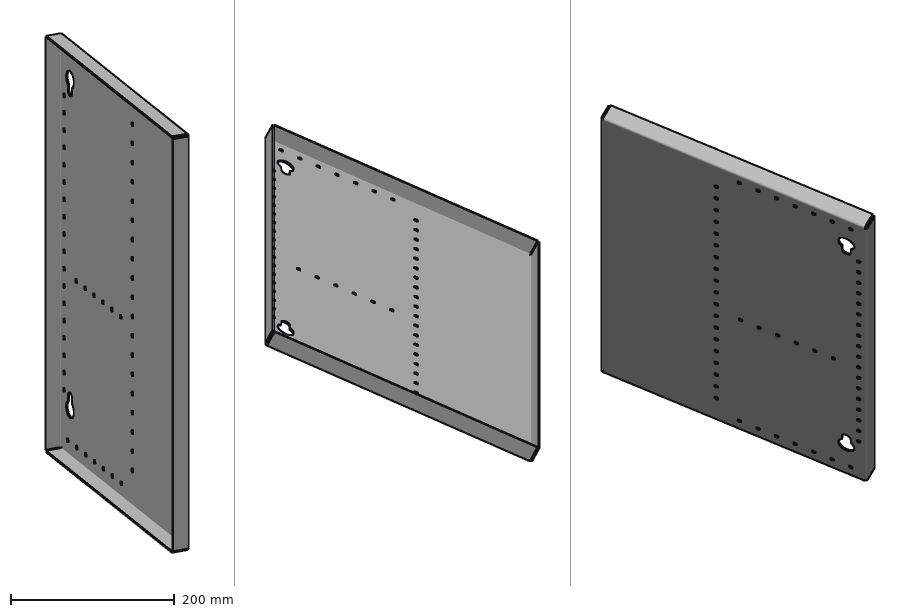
import cadquery as cq

width = 364.55
depth = 22.29
height = 550.1

sheet = 2.29
bend_radius = 3.05

hole_diameter = 5.0
pitch = 25.4
edge_pitch = 22.86

row_x = -160.4
row_count = 7
top_row_z = 258.4
bottom_row_z = -255.8
middle_row_x = -136.6
middle_row_z = -36.6
middle_row_count = 6

long_column_x = 23.6
long_column_z = -227.4
long_column_count = 19
edge_column_x = -171.1
edge_column_z = -193.05
edge_column_count = 18

keyhole_x = -154.2
upper_keyhole_z = 222.9
lower_keyhole_z = -212.6
keyhole_diameter = 22.0
keyhole_slot_width = 12.0
keyhole_slot_travel = 16.0

back_y = depth / 2
front_y = -depth / 2
bend_centre_y = back_y - bend_radius
inner_radius = bend_radius - sheet
panel_width = width - 2 * bend_radius
panel_height = height - 2 * bend_radius


def flange(overall, length):
    """Bend and flange on the +X edge of a sheet `overall` wide, `length` long in Z."""
    outer_x = overall / 2
    bend_x = outer_x - bend_radius
    return (
        cq.Workplane("XY")
        .moveTo(bend_x, back_y)
        .radiusArc((outer_x, bend_centre_y), bend_radius)
        .lineTo(outer_x, front_y)
        .lineTo(outer_x - sheet, front_y)
        .lineTo(outer_x - sheet, bend_centre_y)
        .radiusArc((bend_x, back_y - sheet), -inner_radius)
        .close()
        .extrude(length / 2, both=True)
    )


def make_tray():
    """Flat back panel with a flange folded forward along each edge."""
    panel_middle_y = back_y - sheet / 2
    tray = cq.Workplane("XY").box(panel_width, sheet, panel_height).translate((0, panel_middle_y, 0))
    side_flange = flange(width, panel_height)
    end_flange = flange(height, panel_width).rotate((0, 0, 0), (0, 1, 0), 90)
    for angle in (0, 180):
        tray = tray.union(side_flange.rotate((0, 0, 0), (0, 1, 0), angle))
        tray = tray.union(end_flange.rotate((0, 0, 0), (0, 1, 0), angle))
    return tray


def row(first_x, z, count):
    """Hole centres along X."""
    return [(first_x + i * pitch, z) for i in range(count)]


def column(x, first_z, spacing, count):
    """Hole centres along Z, from the lowest up."""
    return [(x, first_z + i * spacing) for i in range(count)]


def panel_sketch():
    """Sketch plane on the back face, local axes along X and Z, extruding forward."""
    return cq.Workplane("XZ", origin=(0, back_y, 0))


def screw_holes():
    """Cutting cylinders for all the round screw holes."""
    points = row(row_x, top_row_z, row_count)
    points += row(row_x, bottom_row_z, row_count)
    points += row(middle_row_x, middle_row_z, middle_row_count)
    points += column(long_column_x, long_column_z, pitch, long_column_count)
    points += column(edge_column_x, edge_column_z, edge_pitch, edge_column_count)
    return panel_sketch().pushPoints(points).circle(hole_diameter / 2).extrude(sheet)


def keyhole(centre_z, slot_direction):
    """Large hole at centre_z with a slot running up (1) or down (-1) from it."""
    slot_end_z = centre_z + slot_direction * keyhole_slot_travel
    slot_middle_z = (centre_z + slot_end_z) / 2
    large_hole = panel_sketch().center(keyhole_x, centre_z).circle(keyhole_diameter / 2).extrude(sheet)
    slot_length = keyhole_slot_travel + keyhole_slot_width
    slot = panel_sketch().center(keyhole_x, slot_middle_z).slot2D(slot_length, keyhole_slot_width, 90)
    return large_hole.union(slot.extrude(sheet))


result = (
    make_tray()
    .cut(screw_holes())
    .cut(keyhole(upper_keyhole_z, -1))
    .cut(keyhole(lower_keyhole_z, 1))
)